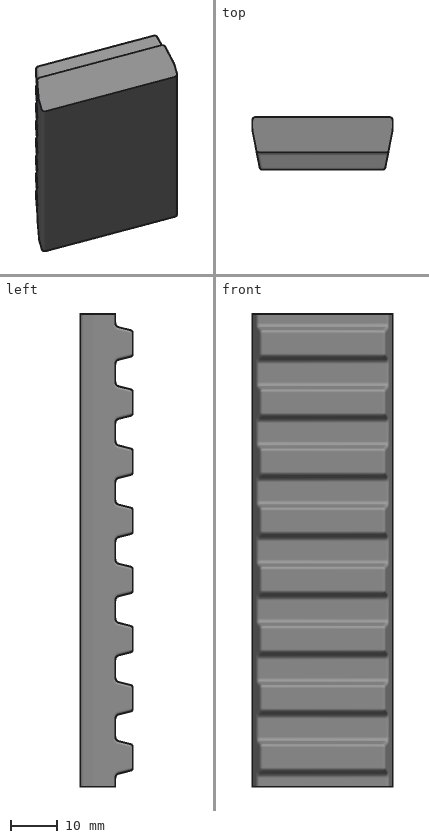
import cadquery as cq
import math

LENGTH = 101.6
WIDTH = 30.2
DEPTH = 11.4

BODY_DEPTH = 7.6
STRAIGHT_DEPTH = 2.8
SIDE_TAPER = 11.0
BACK_CORNER_RADIUS = 0.7
SIDE_BLEND_RADIUS = 3.0

TOOTH_COUNT = 8
PITCH = LENGTH / TOOTH_COUNT
TIP_HEIGHT = 5.5
FLANK_ANGLE = 14.0
ROOT_RADIUS = 0.9
EDGE_RADIUS = 0.7

TOL = 0.01


def tapered_bar():
    """Full-depth bar with flat-then-tapered sides, rounded along its length."""
    half = WIDTH / 2
    front_half = half - (DEPTH - STRAIGHT_DEPTH) * math.tan(math.radians(SIDE_TAPER))
    bar = (
        cq.Workplane("XY")
        .polyline([
            (-half, 0),
            (half, 0),
            (half, -STRAIGHT_DEPTH),
            (front_half, -DEPTH),
            (-front_half, -DEPTH),
            (-half, -STRAIGHT_DEPTH),
        ])
        .close()
        .extrude(LENGTH)
    )
    back_corners = cq.selectors.BoxSelector((-WIDTH, -TOL, 0), (WIDTH, TOL, LENGTH))
    blends = cq.selectors.BoxSelector(
        (-WIDTH, -STRAIGHT_DEPTH - TOL, 0), (WIDTH, -STRAIGHT_DEPTH + TOL, LENGTH)
    )
    bar = bar.edges("|Z").edges(back_corners).fillet(BACK_CORNER_RADIUS)
    return bar.edges("|Z").edges(blends).fillet(SIDE_BLEND_RADIUS)


def rack_profile():
    """Side profile of body and teeth, extruded across the width, with rounded roots."""
    tip_half = TIP_HEIGHT / 2
    root_half = tip_half + (DEPTH - BODY_DEPTH) * math.tan(math.radians(FLANK_ANGLE))
    points = [(0, 0), (-BODY_DEPTH, 0)]
    for index in range(TOOTH_COUNT):
        middle = (index + 0.5) * PITCH
        points += [
            (-BODY_DEPTH, middle - root_half),
            (-DEPTH, middle - tip_half),
            (-DEPTH, middle + tip_half),
            (-BODY_DEPTH, middle + root_half),
        ]
    points += [(-BODY_DEPTH, LENGTH), (0, LENGTH)]
    rack = cq.Workplane("YZ").polyline(points).close().extrude(WIDTH / 2, both=True)
    roots = cq.selectors.BoxSelector(
        (-WIDTH, -BODY_DEPTH - TOL, TOL), (WIDTH, -BODY_DEPTH + TOL, LENGTH - TOL)
    )
    return rack.edges("|X").edges(roots).fillet(ROOT_RADIUS)


def round_front_edges(body):
    """Round the tooth tips and the side edges that follow the toothed front."""
    tips = body.edges("|X").edges("<Y")
    front = cq.selectors.BoxSelector(
        (-WIDTH, -DEPTH - TOL, TOL), (WIDTH, -BODY_DEPTH + TOL, LENGTH - TOL)
    )
    side_edges = body.edges(front).edges("not |X")
    return body.newObject(tips.vals() + side_edges.vals()).fillet(EDGE_RADIUS)


result = round_front_edges(tapered_bar().intersect(rack_profile()))